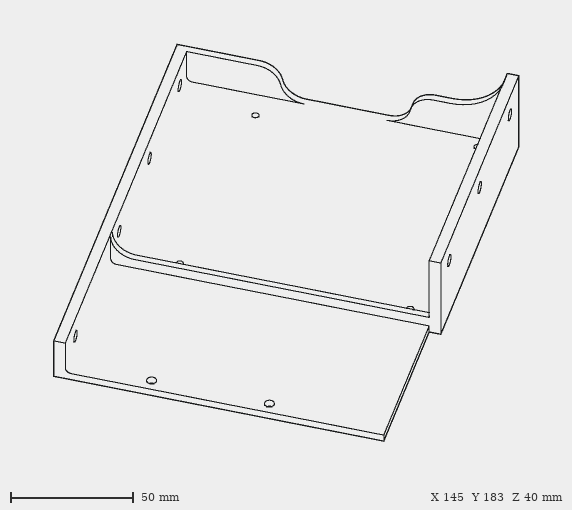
import cadquery as cq
import math

width = 145.0
length = 183.0
height = 40.0

floor_thickness = 3.5
wall_thickness = 5.0
left_wall_height = 20.0
root_radius = 2.5
right_wall_x = width - wall_thickness

tray_front = 67.3
tray_length = length - tray_front
rib_thickness = 2.7
rib_height = 8.2
rib_radius = 10.0

back_thickness = 3.1
back_face = length - back_thickness
notch_left = 54.7
notch_right = 89.9
notch_radius = 10.0
sweep_radius = 23.6

side_hole_diameter = 5.0
left_hole_z = left_wall_height / 2
right_hole_z = (left_wall_height + height) / 2
tray_side_holes_y = [80.0, 125.0, 169.8]
apron_side_hole_y = 15.2
tray_hole_diameter = 3.0
tray_holes = [(32.0, 75.0), (129.7, 75.0), (37.5, 168.0), (129.7, 175.0)]
apron_hole_diameter = 4.0
apron_holes = [(40.0, 5.1), (90.0, 5.1)]


def block(x, y, z, size_x, size_y, size_z):
    return cq.Workplane("XY").box(size_x, size_y, size_z, centered=False).translate((x, y, z))


def extrude_along_y(section, start, depth):
    """Extrude an XZ sketch toward +Y from the given start."""
    return section.extrude(-depth).translate((0, start, 0))


def root_fillet(x, z, direction, radius, start, depth):
    """Concave fillet strip in a corner between a wall and a level face."""
    reach = direction * radius
    middle = radius * (1 - math.sqrt(0.5))
    section = (
        cq.Workplane("XZ")
        .moveTo(x, z)
        .lineTo(x + reach, z)
        .threePointArc((x + direction * middle, z + middle), (x, z + radius))
        .close()
    )
    return extrude_along_y(section, start, depth)


def back_wall():
    """Back wall with a notch to the floor and a sweep up to the right wall."""
    drop = left_wall_height - floor_thickness
    turn = math.acos(1 - drop / (2 * notch_radius))
    half_run = notch_radius * math.sin(turn)
    half_turn_x = notch_radius * math.sin(turn / 2)
    half_turn_z = notch_radius * (1 - math.cos(turn / 2))
    middle_z = floor_thickness + drop / 2
    upper_z = left_wall_height - half_turn_z
    lower_z = floor_thickness + half_turn_z
    left_top = notch_left - 2 * half_run
    right_top = notch_right + 2 * half_run

    rise = height - left_wall_height
    sweep_turn = math.acos(1 - rise / sweep_radius)
    sweep_start = right_wall_x - sweep_radius * math.sin(sweep_turn)
    sweep_middle = (
        sweep_start + sweep_radius * math.sin(sweep_turn / 2),
        left_wall_height + sweep_radius * (1 - math.cos(sweep_turn / 2)),
    )
    section = (
        cq.Workplane("XZ")
        .lineTo(0, left_wall_height)
        .lineTo(left_top, left_wall_height)
        .threePointArc((left_top + half_turn_x, upper_z), (left_top + half_run, middle_z))
        .threePointArc((notch_left - half_turn_x, lower_z), (notch_left, floor_thickness))
        .lineTo(notch_right, floor_thickness)
        .threePointArc((notch_right + half_turn_x, lower_z), (notch_right + half_run, middle_z))
        .threePointArc((right_top - half_turn_x, upper_z), (right_top, left_wall_height))
        .lineTo(sweep_start, left_wall_height)
        .threePointArc(sweep_middle, (right_wall_x, height))
        .lineTo(right_wall_x, 0)
        .close()
    )
    return extrude_along_y(section, back_face, back_thickness)


def side_hole(x, y, z):
    hole = cq.Workplane("YZ").circle(side_hole_diameter / 2).extrude(wall_thickness)
    return hole.translate((x, y, z))


def floor_holes(points, diameter):
    return cq.Workplane("XY").pushPoints(points).circle(diameter / 2).extrude(floor_thickness)


body = block(0, 0, 0, right_wall_x, length, floor_thickness)
body = body.union(block(0, 0, 0, wall_thickness, length, left_wall_height))
body = body.union(block(right_wall_x, tray_front, 0, wall_thickness, tray_length, height))
body = body.union(root_fillet(wall_thickness, floor_thickness, 1, root_radius, 0, length))
body = body.union(
    root_fillet(right_wall_x, floor_thickness, -1, root_radius, tray_front, tray_length)
)

rib_span = right_wall_x - wall_thickness
body = body.union(block(wall_thickness, tray_front, 0, rib_span, rib_thickness, rib_height))
body = body.union(
    root_fillet(wall_thickness, rib_height, 1, rib_radius, tray_front, rib_thickness)
)

body = body.union(back_wall())

for hole_y in [apron_side_hole_y] + tray_side_holes_y:
    body = body.cut(side_hole(0, hole_y, left_hole_z))
for hole_y in tray_side_holes_y:
    body = body.cut(side_hole(right_wall_x, hole_y, right_hole_z))

body = body.cut(floor_holes(tray_holes, tray_hole_diameter))
body = body.cut(floor_holes(apron_holes, apron_hole_diameter))

result = body